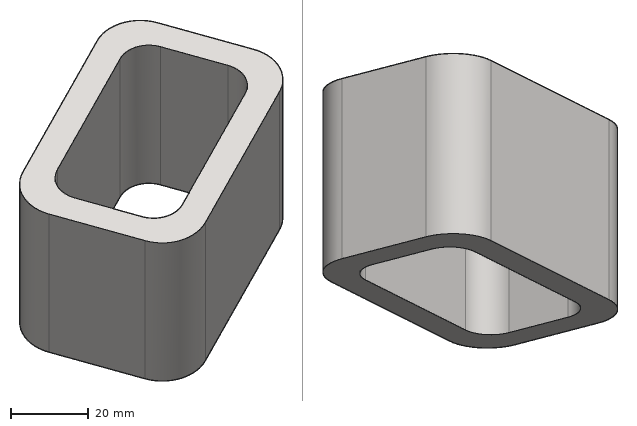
import cadquery as cq

width = 50.8
length = 76.2
height = 50.0
wall = 8.0
outer_corner_radius = 12.0
inner_corner_radius = 8.0


def rounded_block(size_x, size_y, corner_radius):
    """Upright block of the sleeve's height with rounded vertical edges."""
    block = cq.Workplane("XY").rect(size_x, size_y).extrude(height)
    return block.edges("|Z").fillet(corner_radius)


body = rounded_block(width, length, outer_corner_radius)
opening = rounded_block(width - 2 * wall, length - 2 * wall, inner_corner_radius)

result = body.cut(opening)